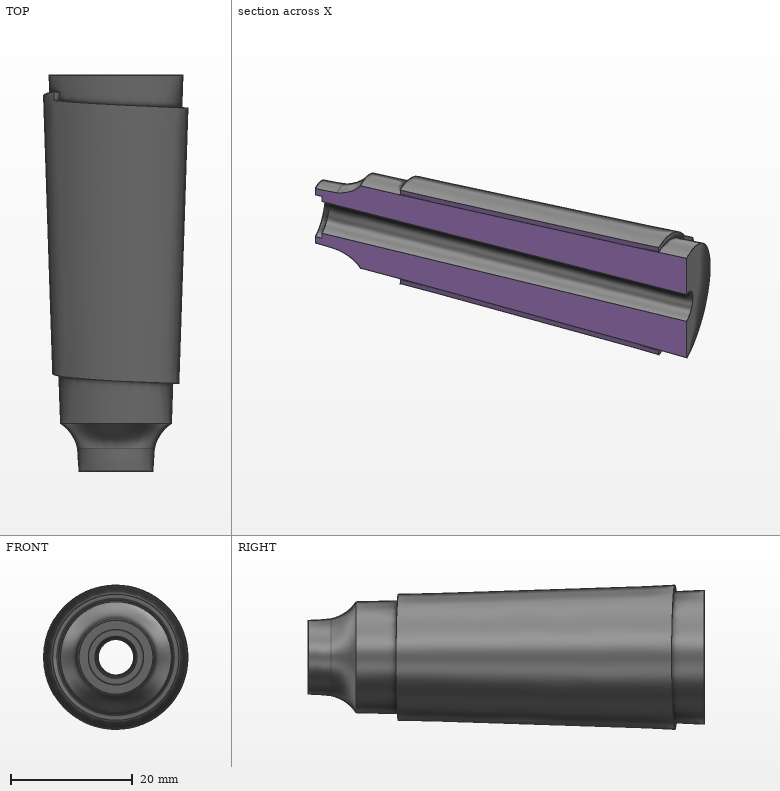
import cadquery as cq
import math


length = 65.0
nose_radius = 6.05
neck_radius = 6.3
neck_y = 3.8
shoulder_y = 7.9
flare_mid_y = 6.2
flare_mid_radius = 7.35
wall_taper = 0.033
shoulder_radius = 9.1

recess_radius = 4.55
recess_depth = 1.15
bore_front_radius = 3.45
bore_back_radius = 2.9

sleeve_thickness = 1.0
front_edge_y = 16.1
back_edge_y = 61.3
front_edge_drop = 1.65
back_edge_drop = 1.7
front_edge_power = 2.1
back_edge_power = 1.7
edge_curve_steps = 24

tab_half_width = 6.2
tab_notch_y = 61.6
tab_corner_y = 62.25

clear_inner_radius = 4.0
clear_outer_radius = 16.0


def core_radius(y):
    """Outer radius of the core's long conical wall."""
    return shoulder_radius + wall_taper * (y - shoulder_y)


def make_core():
    """Revolved core with a flared shoulder, a front recess and a tapered bore."""
    profile = (
        cq.Workplane("XY")
        .moveTo(recess_radius, 0)
        .lineTo(nose_radius, 0)
        .lineTo(neck_radius, neck_y)
        .threePointArc((flare_mid_radius, flare_mid_y), (shoulder_radius, shoulder_y))
        .lineTo(core_radius(length), length)
        .lineTo(bore_back_radius, length)
        .lineTo(bore_front_radius, recess_depth)
        .lineTo(recess_radius, recess_depth)
        .close()
    )
    return profile.revolve(360, (0, 0, 0), (0, 1, 0))


def make_conical_wall():
    """Wall of the sleeve, fitting the core and running its full length."""
    profile = cq.Workplane("XY").polyline([
        (core_radius(shoulder_y), shoulder_y),
        (core_radius(shoulder_y) + sleeve_thickness, shoulder_y),
        (core_radius(length) + sleeve_thickness, length),
        (core_radius(length), length),
    ]).close()
    return profile.revolve(360, (0, 0, 0), (0, 1, 0))


def edge_curve(radius, start_y, drop, power):
    """Half-turn from -X over +Z to +X that falls by drop, levelling out at +X."""
    def point(turn):
        angle = math.pi * turn
        y = start_y - drop * (1 - (1 - turn) ** power)
        return (-radius * math.cos(angle), y, radius * math.sin(angle))

    return cq.Workplane("XY").parametricCurve(point, N=edge_curve_steps, makeWire=False).val()


def space_beyond_edge(start_y, drop, power, direction):
    """Upper half of the space on one side of a sloping sleeve edge."""
    face = cq.Face.makeRuledSurface(
        edge_curve(clear_inner_radius, start_y, drop, power),
        edge_curve(clear_outer_radius, start_y, drop, power),
    )
    return cq.Workplane(cq.Solid.extrudeLinear(face, cq.Vector(0, direction * length, 0)))


def make_tab_space():
    """Upper half of the tab's outline: a V-shaped end between radial sides."""
    root_y = back_edge_y - back_edge_drop
    outer_radius = core_radius(tab_corner_y) + sleeve_thickness
    side_angle = math.asin(tab_half_width / outer_radius)
    reach_z = clear_outer_radius * math.tan(side_angle)
    end_slope = (tab_corner_y - tab_notch_y) / tab_half_width

    end_outline = (
        cq.Workplane("YZ")
        .polyline([
            (root_y, 0),
            (tab_notch_y, 0),
            (tab_notch_y + end_slope * reach_z, reach_z),
            (root_y, reach_z),
        ])
        .close()
        .extrude(-clear_outer_radius)
    )
    radial_wedge = (
        cq.Workplane("XZ")
        .polyline([(0, 0), (-clear_outer_radius, 0), (-clear_outer_radius, reach_z)])
        .close()
        .extrude(-length)
    )
    return end_outline.intersect(radial_wedge)


def make_sleeve():
    """Sleeve with sloping ends and a tab, symmetric about the XY plane."""
    wall = make_conical_wall()
    ahead = space_beyond_edge(front_edge_y, front_edge_drop, front_edge_power, 1)
    behind = space_beyond_edge(back_edge_y, back_edge_drop, back_edge_power, -1)
    upper_half = wall.intersect(ahead).intersect(behind)
    upper_half = upper_half.union(wall.intersect(make_tab_space()))
    return upper_half.union(upper_half.mirror("XY"))


core = make_core()
sleeve = make_sleeve()

result = cq.Compound.makeCompound([core.val(), *sleeve.solids().vals()])